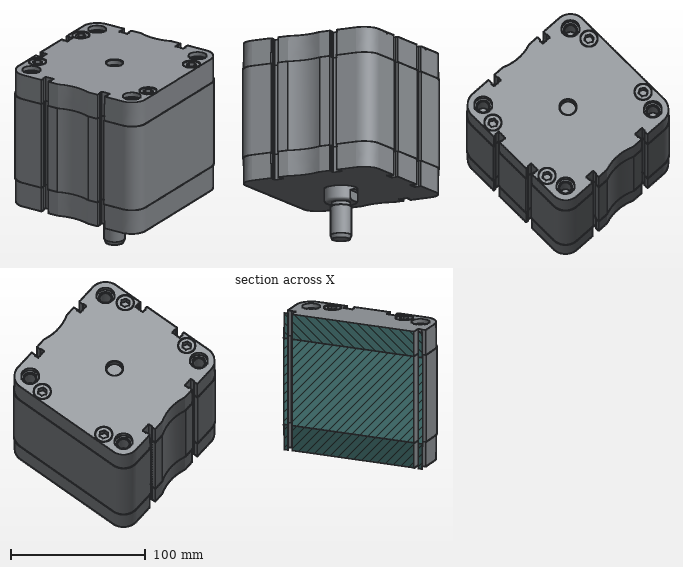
import cadquery as cq
import math


total_length = 145.0
barrel_width = 113.5
cap_width = 113.0
body_height = 106.7
cap_height = 19.5
barrel_height = body_height - 2 * cap_height
rod_reach = total_length - body_height

barrel_corner_radius = 12.0
cap_corner_radius = 12.3
cap_draft = 0.5
flute_floor_offset = 54.0
barrel_flute_width = 27.4
cap_flute_width = 26.7

slot_inner_width = 7.1
barrel_slot_mouth = 5.7
cap_slot_mouth = 6.1
y_side_slot_offset = 25.0
y_side_slot_depth = 7.0
y_side_lip_depth = 3.8
x_side_slot_offset = 17.5
x_side_slot_depth = 6.0
x_side_lip_depth = 2.3

mount_offset = 44.5
mount_recess_diameter = 13.5
mount_recess_depth = 3.5
mount_sink_diameter = 10.2
mount_hole_diameter = 8.5
mount_hole_depth = 17.4

screw_x = 49.0
screw_y = 29.3
screw_head_diameter = 13.0
screw_top_diameter = 12.3
screw_head_drop = 0.5
socket_flats = 6.2
socket_depth = 4.4

centre_hole_diameter = 12.0
centre_sink_diameter = 13.0
centre_hole_depth = 4.4

rod_diameter = 25.0
collar_length = 10.5
collar_rounding = 1.9
flats_width = 22.0
flats_start = 3.0
neck_diameter = 14.0
thread_diameter = 16.0
thread_start = 13.6
thread_lead_in = 0.6
thread_end_diameter = 13.5
thread_end_chamfer = 3.0


def four_points(x, y):
    """Points mirrored about both axes."""
    return [(sx * x, sy * y) for sx in (-1, 1) for sy in (-1, 1)]


def t_slot(depth, lip_depth, mouth_width, height):
    """T-slot cutter that opens through the barrel face at +Y, centred on x = 0."""
    clearance = 1.5
    mouth = cq.Workplane("XY").box(mouth_width, depth + clearance, height, centered=(True, False, False))
    undercut = cq.Workplane("XY").box(slot_inner_width, depth - lip_depth, height, centered=(True, False, False))
    return mouth.union(undercut).translate((0, barrel_width / 2 - depth, 0))


def cut_slots(body, mouth_width, height):
    """Two slots on each Y side and two on the -X side."""
    y_slot = t_slot(y_side_slot_depth, y_side_lip_depth, mouth_width, height)
    for x in (-y_side_slot_offset, y_side_slot_offset):
        slot = y_slot.translate((x, 0, 0))
        body = body.cut(slot).cut(slot.mirror("XZ"))
    x_slot = t_slot(x_side_slot_depth, x_side_lip_depth, mouth_width, height)
    x_slot = x_slot.rotate((0, 0, 0), (0, 0, 1), 90)
    for y in (-x_side_slot_offset, x_side_slot_offset):
        body = body.cut(x_slot.translate((0, y, 0)))
    return body


def profile(side, corner_radius, flute_width):
    """Square outline with rounded corners and a shallow concave flute on each Y side."""
    h = side / 2
    straight = h - corner_radius
    diagonal = h - corner_radius * (1 - math.sqrt(0.5))
    flute = flute_width / 2
    bottom = flute_floor_offset
    return (
        cq.Workplane("XY")
        .moveTo(-straight, -h)
        .lineTo(-flute, -h)
        .threePointArc((0, -bottom), (flute, -h))
        .lineTo(straight, -h)
        .threePointArc((diagonal, -diagonal), (h, -straight))
        .lineTo(h, straight)
        .threePointArc((diagonal, diagonal), (straight, h))
        .lineTo(flute, h)
        .threePointArc((0, bottom), (-flute, h))
        .lineTo(-straight, h)
        .threePointArc((-diagonal, diagonal), (-h, straight))
        .lineTo(-h, -straight)
        .threePointArc((-diagonal, -diagonal), (-straight, -h))
        .close()
    )


def make_barrel():
    barrel = profile(barrel_width, barrel_corner_radius, barrel_flute_width).extrude(barrel_height)
    barrel = cut_slots(barrel, barrel_slot_mouth, barrel_height)
    return barrel.translate((0, 0, cap_height))


def cone_sink(top_diameter, bottom_diameter, top_z):
    """45 degree countersink cutter with its wide end at top_z."""
    top_radius = top_diameter / 2
    bottom_radius = bottom_diameter / 2
    bottom_z = top_z - (top_radius - bottom_radius)
    return (
        cq.Workplane("XZ")
        .moveTo(0, bottom_z)
        .lineTo(bottom_radius, bottom_z)
        .lineTo(top_radius, top_z)
        .lineTo(0, top_z)
        .close()
        .revolve(360, (0, 0, 0), (0, 1, 0))
    )


def make_plain_cap():
    """Drafted cap standing on its wide face at z = 0, outer face at cap_height."""
    cap = profile(cap_width, cap_corner_radius, cap_flute_width).extrude(cap_height, taper=cap_draft)
    return cut_slots(cap, cap_slot_mouth, cap_height)


def cut_mounting_holes(cap):
    face = cap_height
    hole = (
        cq.Workplane("XY")
        .workplane(offset=face - mount_hole_depth)
        .circle(mount_hole_diameter / 2)
        .extrude(mount_hole_depth)
    )
    recess_floor = face - mount_recess_depth
    recess = (
        cq.Workplane("XY")
        .workplane(offset=recess_floor)
        .circle(mount_recess_diameter / 2)
        .extrude(mount_recess_depth)
    )
    sink = cone_sink(mount_sink_diameter, mount_hole_diameter, recess_floor)
    cutter = hole.union(recess).union(sink)
    for x, y in four_points(mount_offset, mount_offset):
        cap = cap.cut(cutter.translate((x, y, 0)))
    return cap


def cut_screw_heads(cap):
    """Recess down to each chamfered head, and a hexagon socket."""
    face = cap_height
    head_face = face - screw_head_drop
    top_radius = screw_top_diameter / 2
    head_radius = screw_head_diameter / 2
    recess = (
        cq.Workplane("XZ")
        .moveTo(0, face)
        .lineTo(head_radius, face)
        .lineTo(head_radius, head_face - (head_radius - top_radius))
        .lineTo(top_radius, head_face)
        .lineTo(0, head_face)
        .close()
        .revolve(360, (0, 0, 0), (0, 1, 0))
    )
    socket_corners = socket_flats / math.cos(math.pi / 6)
    socket = (
        cq.Workplane("XY")
        .workplane(offset=head_face - socket_depth)
        .polygon(6, socket_corners)
        .extrude(socket_depth)
        .rotate((0, 0, 0), (0, 0, 1), 30)
    )
    for x, y in four_points(screw_x, screw_y):
        cap = cap.cut(recess.translate((x, y, 0))).cut(socket.translate((x, y, 0)))
    return cap


def cut_centring_hole(cap):
    hole = (
        cq.Workplane("XY")
        .workplane(offset=cap_height - centre_hole_depth)
        .circle(centre_hole_diameter / 2)
        .extrude(centre_hole_depth)
    )
    return cap.cut(hole).cut(cone_sink(centre_sink_diameter, centre_hole_diameter, cap_height))


def make_upper_cap():
    cap = make_plain_cap()
    cap = cut_mounting_holes(cap)
    cap = cut_screw_heads(cap)
    cap = cut_centring_hole(cap)
    return cap.translate((0, 0, body_height - cap_height))


def make_lower_cap():
    """Plain cap turned upside down, bored through for the rod."""
    cap = make_plain_cap().mirror("XY").translate((0, 0, cap_height))
    bore = cq.Workplane("XY").circle(rod_diameter / 2).extrude(cap_height)
    return cap.cut(bore)


def cut_wrench_flats(rod):
    """Two flats facing -X and +X, each ending upwards in a 45 degree slope."""
    flat = flats_width / 2
    outside = rod_diameter
    slope = outside - flat
    cutter = (
        cq.Workplane("XZ")
        .moveTo(flat, -flats_start)
        .lineTo(outside, slope - flats_start)
        .lineTo(outside, -collar_length)
        .lineTo(flat, -collar_length)
        .close()
        .extrude(rod_diameter / 2, both=True)
    )
    return rod.cut(cutter).cut(cutter.mirror("YZ"))


def make_rod():
    """Turned rod reaching up through the lower cap to the barrel."""
    rod_radius = rod_diameter / 2
    neck_radius = neck_diameter / 2
    thread_radius = thread_diameter / 2
    rod = (
        cq.Workplane("XZ")
        .moveTo(0, cap_height)
        .lineTo(rod_radius, cap_height)
        .lineTo(rod_radius, collar_rounding - collar_length)
        .radiusArc((rod_radius - collar_rounding, -collar_length), collar_rounding)
        .lineTo(neck_radius, -collar_length)
        .lineTo(neck_radius, thread_lead_in - thread_start)
        .lineTo(thread_radius, -thread_start)
        .lineTo(thread_radius, thread_end_chamfer - rod_reach)
        .lineTo(thread_end_diameter / 2, -rod_reach)
        .lineTo(0, -rod_reach)
        .close()
        .revolve(360, (0, 0, 0), (0, 1, 0))
    )
    return cut_wrench_flats(rod)


barrel = make_barrel()
upper_cap = make_upper_cap()
lower_cap = make_lower_cap()
rod = make_rod()

result = cq.Compound.makeCompound([barrel.val(), upper_cap.val(), lower_cap.val(), rod.val()])